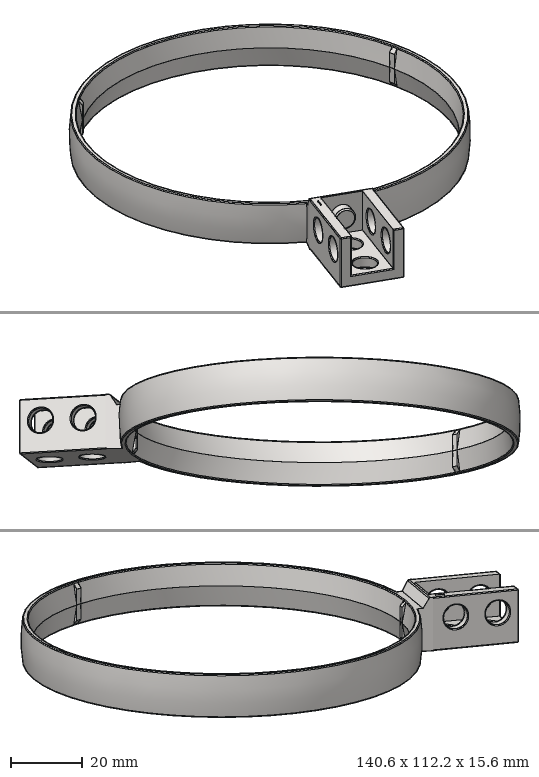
import cadquery as cq

ring_radius = 56.1
ring_height = 12.5
outer_bulge = 0.4
inner_rim_radius = 54.1
inner_ridge_radius = 53.0
rim_chamfer = 0.3

root_radius = 55.1

rib_count = 3
rib_width = 1.8
rib_end_height = 1.4

overall_length = 140.6
clevis_end_x = overall_length - ring_radius
clevis_width = 19.0
clevis_height = 15.6
edge_chamfer = 0.3
neck_width = 17.7
flare_start_x = 54.8
flare_end_x = 59.3
slope_start_x = 56.4
slope_end_x = 58.2

channel_start_x = 59.2
channel_width = 12.4
wall_thickness = (clevis_width - channel_width) / 2
floor_thickness = 3.4

hole_diameter = 7.0
hole_chamfer = 0.3
hole_count = 2
hole_pitch = 12.4
last_hole_inset = 6.2
hole_xs = [clevis_end_x - last_hole_inset - hole_pitch * i for i in range(hole_count)]
wall_hole_z = 9.3

boss_diameter = 6.3
boss_length = 3.1
boss_end_chamfer = 0.4

slit_length = 2.5
slit_width = 0.3
slit_depth = 1.4
slit_x = 61.9
slit_y = -7.6


def make_ring():
    rim_radius = ring_radius - outer_bulge
    shoulder_z = ring_height - rim_chamfer
    mid_z = ring_height / 2
    return (
        cq.Workplane("XZ")
        .moveTo(rim_radius - rim_chamfer, 0)
        .lineTo(rim_radius, rim_chamfer)
        .threePointArc((ring_radius, mid_z), (rim_radius, shoulder_z))
        .lineTo(rim_radius - rim_chamfer, ring_height)
        .lineTo(inner_rim_radius + rim_chamfer, ring_height)
        .lineTo(inner_rim_radius, shoulder_z)
        .lineTo(inner_ridge_radius, mid_z)
        .lineTo(inner_rim_radius, rim_chamfer)
        .lineTo(inner_rim_radius + rim_chamfer, 0)
        .close()
        .revolve(360, (0, 0, 0), (0, 1, 0))
    )


def make_ribs():
    """Ribs spread evenly around the ring, the first one facing the clevis."""
    bottom_z = rim_chamfer
    top_z = ring_height - rim_chamfer
    rib = (
        cq.Workplane("XZ")
        .moveTo(root_radius, bottom_z)
        .lineTo(inner_rim_radius, bottom_z)
        .lineTo(inner_ridge_radius, bottom_z + rib_end_height)
        .lineTo(inner_ridge_radius, top_z - rib_end_height)
        .lineTo(inner_rim_radius, top_z)
        .lineTo(root_radius, top_z)
        .close()
        .extrude(rib_width / 2, both=True)
    )
    ribs = cq.Workplane("XY")
    for i in range(rib_count):
        ribs = ribs.add(rib.rotate((0, 0, 0), (0, 0, 1), 360 / rib_count * i))
    return ribs.combine()


def make_neck():
    """Block that widens and rises from the ring to the clevis."""
    plan = (
        cq.Workplane("XY")
        .moveTo(0, -neck_width / 2)
        .lineTo(flare_start_x, -neck_width / 2)
        .lineTo(flare_end_x, -clevis_width / 2)
        .lineTo(flare_end_x, clevis_width / 2)
        .lineTo(flare_start_x, neck_width / 2)
        .lineTo(0, neck_width / 2)
        .close()
        .extrude(clevis_height)
    )
    side = (
        cq.Workplane("XZ")
        .moveTo(0, 0)
        .lineTo(flare_end_x, 0)
        .lineTo(flare_end_x, clevis_height)
        .lineTo(slope_end_x, clevis_height)
        .lineTo(slope_start_x, ring_height)
        .lineTo(0, ring_height)
        .close()
        .extrude(clevis_width / 2, both=True)
        .faces(">Z")
        .edges("<X")
        .chamfer(edge_chamfer)
    )
    ring_bore = cq.Workplane("XY").circle(root_radius).extrude(clevis_height)
    return plan.intersect(side).cut(ring_bore)


def make_clevis_body():
    """Block with the channel, chamfered on its long outer edges and around its end."""
    block = cq.Workplane("XY").box(
        clevis_end_x - flare_end_x,
        clevis_width,
        clevis_height,
        centered=(False, True, False),
    ).translate((flare_end_x, 0, 0))
    return block.cut(make_channel()).edges(">X or (|X and (>Y or <Y))").chamfer(edge_chamfer)


def make_channel():
    return cq.Workplane("XY").box(
        clevis_end_x - channel_start_x,
        channel_width,
        clevis_height - floor_thickness,
        centered=(False, True, False),
    ).translate((channel_start_x, 0, floor_thickness))


def make_hole_cutter(depth):
    """Cutter along Z from Z = 0 to the given depth, widened by a chamfer at both ends."""
    radius = hole_diameter / 2
    rim_radius = radius + hole_chamfer
    return (
        cq.Workplane("XZ")
        .moveTo(0, 0)
        .lineTo(rim_radius, 0)
        .lineTo(radius, hole_chamfer)
        .lineTo(radius, depth - hole_chamfer)
        .lineTo(rim_radius, depth)
        .lineTo(0, depth)
        .close()
        .revolve(360, (0, 0, 0), (0, 1, 0))
    )


def make_holes():
    floor_hole = make_hole_cutter(floor_thickness)
    wall_hole = make_hole_cutter(wall_thickness).rotate((0, 0, 0), (1, 0, 0), 90)
    holes = cq.Workplane("XY")
    for x in hole_xs:
        holes = holes.add(floor_hole.translate((x, 0, 0)))
        for wall_face_y in (-channel_width / 2, clevis_width / 2):
            holes = holes.add(wall_hole.translate((x, wall_face_y, wall_hole_z)))
    return holes.combine()


def make_boss():
    return (
        cq.Workplane("YZ", origin=(channel_start_x, 0, wall_hole_z))
        .circle(boss_diameter / 2)
        .extrude(boss_length)
        .faces(">X")
        .chamfer(boss_end_chamfer)
    )


def make_slit():
    return cq.Workplane("XY").box(
        slit_length, slit_width, slit_depth, centered=(True, True, False)
    ).translate((slit_x, slit_y, clevis_height - slit_depth))


result = make_ring().union(make_ribs()).union(make_neck()).union(make_clevis_body())
for cutter in (make_channel(), make_holes(), make_slit()):
    result = result.cut(cutter)
result = result.union(make_boss())